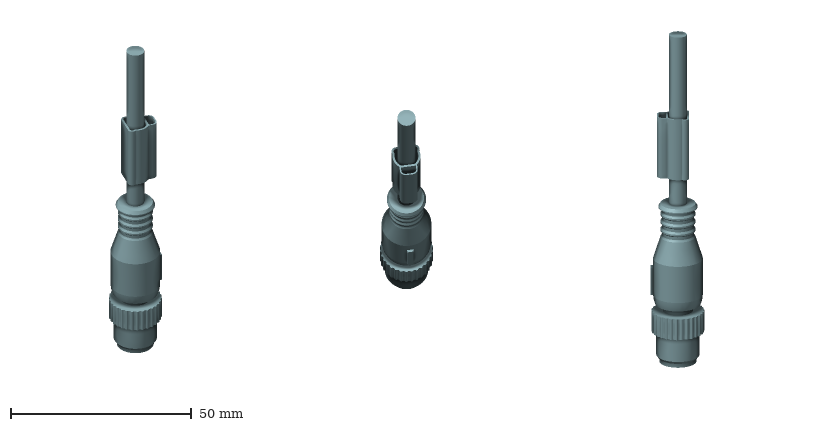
import cadquery as cq
import math

TOTAL_LENGTH = 97.0
CHAMFER_BOTTOM_Z = 1.3
CHAMFER_TOP_Z = 2.0
KNURL_BOTTOM_Z = 9.0
KNURL_TOP_Z = 15.1
GRIP_BOTTOM_Z = 17.2
GRIP_BODY_BOTTOM_Z = 19.9
GRIP_BODY_TOP_Z = 30.7
CONE_TOP_Z = 37.1
GRIP_TOP_Z = 46.9
MARKER_BOTTOM_Z = 55.2
MARKER_TOP_Z = 73.0

CARRIER_RADIUS = 5.1
NECK_RADIUS = 4.2

NUT_RADIUS = 6.0
NUT_END_RADIUS = 5.4
KNURL_DIAMETER = 14.6
KNURL_DEPTH = 0.3
KNURL_TEETH = 30
CREST_SHARE = 0.2
VALLEY_SHARE = 0.3

GRIP_RADIUS = 6.9
GRIP_BOTTOM_RADIUS = 6.3
RELIEF_RADIUS = 4.5
RING_RADIUS = 4.85
RING_COUNT = 3
RING_PITCH = 2.3
RING_TOP_SLOPE = 0.6
RING_LAND = 0.5
RING_UNDER_SLOPE = 0.4
FLANGE_RADIUS = 5.4
FLANGE_TOP_RADIUS = 4.85
FLANGE_SLOPE = 0.9
FLANGE_LAND = 0.3
FLANGE_UNDER_SLOPE = 0.3
KEY_ANGLE = 45.0
KEY_WIDTH = 1.7
KEY_REACH = 7.6
KEY_TOP_Z = 28.1

CABLE_DIAMETER = 4.9

MARKER_RADIUS = 3.9
MARKER_WALL = 0.6
MARKER_FLAT = 3.1
MARKER_FLAT_WIDTH = 5.6
CORNER_MID_X = 3.6
CORNER_MID_DEPTH = 2.7
CORNER_END_DEPTH = 1.2
CABLE_PASSAGE_TOP = 2.7
CHAMBER_TOP = 5.8
CHAMBER_WIDTH = 4.9
CHAMBER_WALL = 0.4
CHAMBER_CORNER_RADIUS = 1.6


def cylinder(radius, bottom, top):
    return cq.Workplane("XY").workplane(offset=bottom).circle(radius).extrude(top - bottom)


def revolve_about_z(profile):
    return profile.close().revolve(360, (0, 0, 0), (0, 1, 0))


def make_carrier():
    """Stepped insert that fills the nut and carries the grip."""
    body = cylinder(CARRIER_RADIUS, 0, KNURL_BOTTOM_Z)
    return body.union(cylinder(NECK_RADIUS, KNURL_BOTTOM_Z, GRIP_BOTTOM_Z))


def make_knurl():
    """Collar of trapezoidal teeth, with a crest centred on +X."""
    crest_radius = KNURL_DIAMETER / 2
    valley_radius = crest_radius - KNURL_DEPTH
    pitch_angle = 2 * math.pi / KNURL_TEETH
    crest_half_angle = CREST_SHARE * pitch_angle / 2
    valley_half_angle = VALLEY_SHARE * pitch_angle / 2
    points = []
    for tooth in range(KNURL_TEETH):
        crest_angle = tooth * pitch_angle
        valley_angle = crest_angle + pitch_angle / 2
        for radius, angle in (
            (crest_radius, crest_angle - crest_half_angle),
            (crest_radius, crest_angle + crest_half_angle),
            (valley_radius, valley_angle - valley_half_angle),
            (valley_radius, valley_angle + valley_half_angle),
        ):
            points.append((radius * math.cos(angle), radius * math.sin(angle)))
    outline = cq.Workplane("XY").workplane(offset=KNURL_BOTTOM_Z).polyline(points).close()
    return outline.extrude(KNURL_TOP_Z - KNURL_BOTTOM_Z)


def make_nut(carrier):
    """Coupling nut: chamfered sleeve below a knurled collar, bored to fit the carrier."""
    sleeve = revolve_about_z(
        cq.Workplane("XZ")
        .moveTo(0, CHAMFER_BOTTOM_Z)
        .lineTo(NUT_END_RADIUS, CHAMFER_BOTTOM_Z)
        .lineTo(NUT_RADIUS, CHAMFER_TOP_Z)
        .lineTo(NUT_RADIUS, KNURL_BOTTOM_Z)
        .lineTo(0, KNURL_BOTTOM_Z)
    )
    return sleeve.union(make_knurl()).cut(carrier)


def make_grip():
    """Moulded grip: rounded lower end, straight body, cone, ringed strain relief and flange."""
    body_mid_z = (GRIP_BOTTOM_Z + GRIP_BODY_BOTTOM_Z) / 2
    body_mid_radius = GRIP_RADIUS - (GRIP_RADIUS - GRIP_BOTTOM_RADIUS) / 4
    profile = (
        cq.Workplane("XZ")
        .moveTo(0, GRIP_BOTTOM_Z)
        .lineTo(GRIP_BOTTOM_RADIUS, GRIP_BOTTOM_Z)
        .threePointArc((body_mid_radius, body_mid_z), (GRIP_RADIUS, GRIP_BODY_BOTTOM_Z))
        .lineTo(GRIP_RADIUS, GRIP_BODY_TOP_Z)
        .lineTo(RING_RADIUS, CONE_TOP_Z)
        .lineTo(RELIEF_RADIUS, CONE_TOP_Z + RING_TOP_SLOPE)
    )
    for ring in range(1, RING_COUNT + 1):
        land_top = CONE_TOP_Z + ring * RING_PITCH
        land_bottom = land_top - RING_LAND
        profile = (
            profile.lineTo(RELIEF_RADIUS, land_bottom - RING_UNDER_SLOPE)
            .lineTo(RING_RADIUS, land_bottom)
            .lineTo(RING_RADIUS, land_top)
            .lineTo(RELIEF_RADIUS, land_top + RING_TOP_SLOPE)
        )
    flange_land_top = GRIP_TOP_Z - FLANGE_SLOPE
    flange_land_bottom = flange_land_top - FLANGE_LAND
    profile = (
        profile.lineTo(RELIEF_RADIUS, flange_land_bottom - FLANGE_UNDER_SLOPE)
        .lineTo(FLANGE_RADIUS, flange_land_bottom)
        .lineTo(FLANGE_RADIUS, flange_land_top)
        .lineTo(FLANGE_TOP_RADIUS, GRIP_TOP_Z)
        .lineTo(0, GRIP_TOP_Z)
    )
    return revolve_about_z(profile).union(make_key())


def make_key():
    """Straight rib along the grip body that marks the keying direction."""
    rib_height = KEY_TOP_Z - GRIP_BODY_BOTTOM_Z
    rib = cq.Workplane("XY").box(KEY_REACH, KEY_WIDTH, rib_height, centered=(False, True, False))
    return rib.translate((0, 0, GRIP_BODY_BOTTOM_Z)).rotate((0, 0, 0), (0, 0, 1), KEY_ANGLE)


def make_cable():
    return cylinder(CABLE_DIAMETER / 2, GRIP_TOP_Z, TOTAL_LENGTH)


def marker_block(inset):
    """Prism around the cable, mostly round, with a flat between two blunt corners towards -Y."""
    flat_half_width = MARKER_FLAT_WIDTH / 2
    corner_end_x = math.sqrt(MARKER_RADIUS**2 - CORNER_END_DEPTH**2)
    outline = (
        cq.Workplane("XY")
        .workplane(offset=MARKER_BOTTOM_Z)
        .moveTo(corner_end_x, -CORNER_END_DEPTH)
        .threePointArc((0, MARKER_RADIUS), (-corner_end_x, -CORNER_END_DEPTH))
        .threePointArc((-CORNER_MID_X, -CORNER_MID_DEPTH), (-flat_half_width, -MARKER_FLAT))
        .lineTo(flat_half_width, -MARKER_FLAT)
        .threePointArc((CORNER_MID_X, -CORNER_MID_DEPTH), (corner_end_x, -CORNER_END_DEPTH))
        .close()
    )
    if inset > 0:
        outline = outline.offset2D(-inset)
    return outline.extrude(MARKER_TOP_Z - MARKER_BOTTOM_Z)


def chamber_block(width, bottom, top, corner_radius):
    """Rectangular prism with its two +Y corners rounded."""
    return (
        cq.Workplane("XY")
        .box(width, top - bottom, MARKER_TOP_Z - MARKER_BOTTOM_Z, centered=(True, False, False))
        .edges("|Z and >Y")
        .fillet(corner_radius)
        .translate((0, bottom, MARKER_BOTTOM_Z))
    )


def make_marker():
    """Open-ended clip on the cable, with a label chamber beside the cable passage."""
    outer = marker_block(0)
    outer = outer.union(chamber_block(CHAMBER_WIDTH, 0, CHAMBER_TOP, CHAMBER_CORNER_RADIUS))

    passage = marker_block(MARKER_WALL)
    septum_block = (
        cq.Workplane("XY")
        .box(2 * MARKER_RADIUS, MARKER_RADIUS, TOTAL_LENGTH, centered=(True, False, False))
        .translate((0, CABLE_PASSAGE_TOP, 0))
    )
    passage = passage.cut(septum_block)
    chamber = chamber_block(
        CHAMBER_WIDTH - 2 * CHAMBER_WALL,
        CABLE_PASSAGE_TOP + MARKER_WALL,
        CHAMBER_TOP - CHAMBER_WALL,
        CHAMBER_CORNER_RADIUS - CHAMBER_WALL,
    )
    clip = outer.cut(passage).cut(chamber)
    return clip.rotate((0, 0, 0), (0, 0, 1), KEY_ANGLE - 90)


carrier = make_carrier()
nut = make_nut(carrier)
grip = make_grip()
cable = make_cable()
marker = make_marker()

result = cq.Compound.makeCompound([carrier.val(), nut.val(), grip.val(), cable.val(), marker.val()])